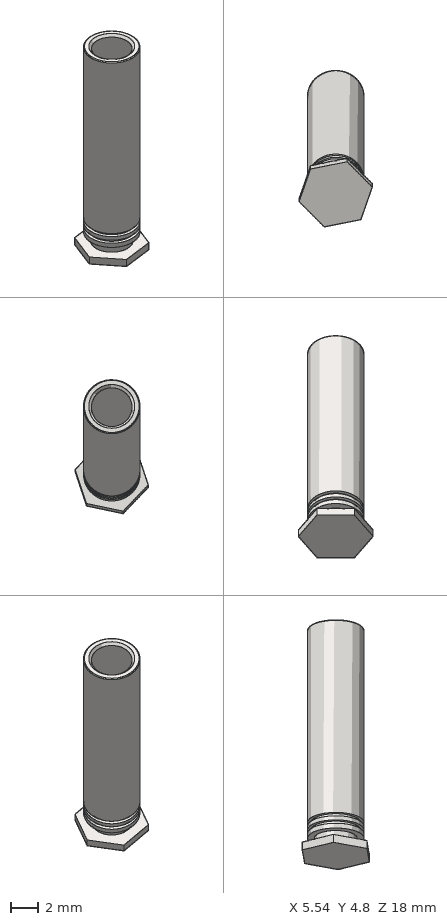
import cadquery as cq
import math

total_height = 18.0

hex_across_flats = 4.8
hex_across_corners = hex_across_flats / math.cos(math.pi / 6)
hex_height = 0.63

body_diameter = 4.2
neck_diameter = 3.19
groove_diameter = 3.69
neck_top = 1.4
lower_ring_height = 0.38
groove_pitch = 0.6
groove_height = 0.27
groove_count = 2
rim_chamfer = 0.07

bore_diameter = 3.0
mouth_diameter = 3.4
bore_depth = 12.6
drill_point_angle = 118.0


def make_foot():
    return cq.Workplane("XY").polygon(6, hex_across_corners).extrude(hex_height)


def cylinder(diameter, bottom, top):
    return cq.Workplane("XY").workplane(offset=bottom).circle(diameter / 2).extrude(top - bottom)


def make_body():
    barrel = cylinder(body_diameter, neck_top, total_height).faces(">Z").chamfer(rim_chamfer)
    return barrel.union(cylinder(neck_diameter, hex_height, neck_top))


def make_groove(bottom):
    top = bottom + groove_height
    return cylinder(body_diameter, bottom, top).cut(cylinder(groove_diameter, bottom, top))


def make_bore():
    bore_radius = bore_diameter / 2
    mouth_radius = mouth_diameter / 2
    mouth_depth = mouth_radius - bore_radius
    floor_edge = total_height - bore_depth
    cone_height = bore_radius / math.tan(math.radians(drill_point_angle / 2))
    profile = [
        (0, floor_edge - cone_height),
        (bore_radius, floor_edge),
        (bore_radius, total_height - mouth_depth),
        (mouth_radius, total_height),
        (0, total_height),
    ]
    return cq.Workplane("XZ").polyline(profile).close().revolve(360, (0, 0, 0), (0, 1, 0))


part = make_foot().union(make_body())
for index in range(groove_count):
    groove_bottom = neck_top + lower_ring_height + index * groove_pitch
    part = part.cut(make_groove(groove_bottom))

result = part.cut(make_bore())